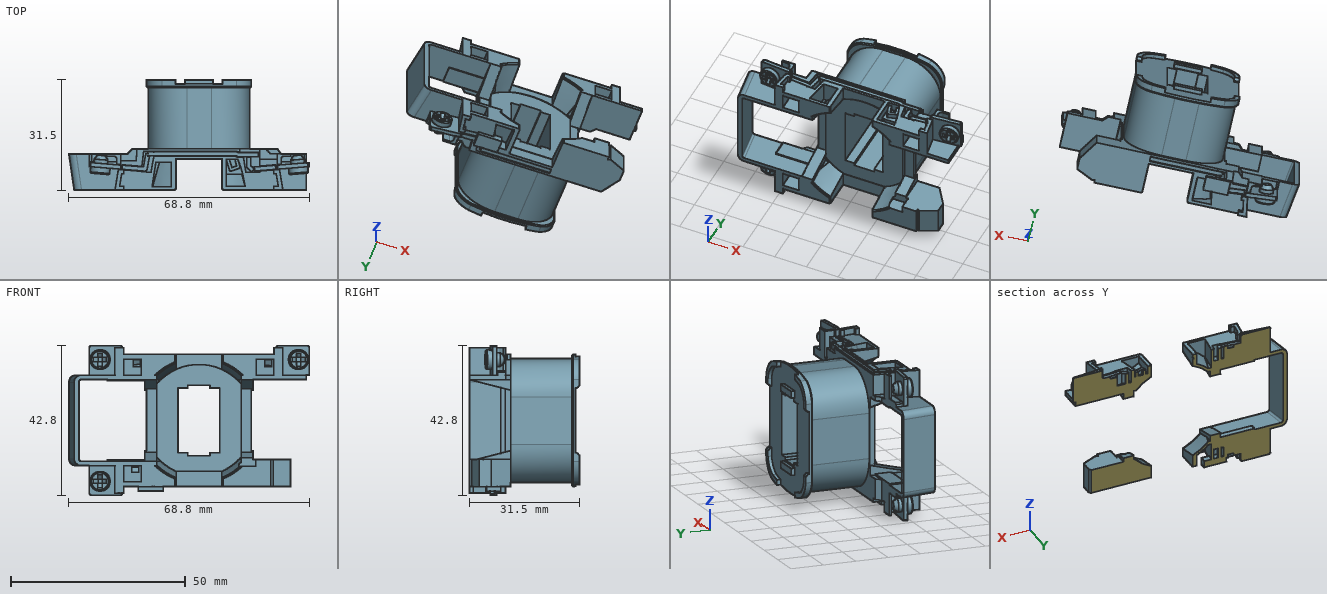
import cadquery as cq
import math

EAR_REAR = 10.3
PLATE_REAR = 11.74
BOBBIN_REAR = 31.5
ARM_INNER = 11.66
WALL = 1.29
ARM_FLOOR = ARM_INNER + WALL
ARM_TOP = 18.95
POST_TOP = 20.8
TERMINAL_TOP = 21.4

OPENING_HALF = 6.55
PLATE_FRONT = 8.84
PLATE_HALF = 12.13
STRIP_FRONT = 10.26
FLANGE_HALF = 15.0
BORE_HALF_X = 5.92
BORE_HALF_Z = 9.2
NOTCH_HALF_X = 3.13
NOTCH_HALF_Z = 10.05
SEAT_DEPTH = 0.1
SEAT_BOTTOM = -14.6
CONE_FRONT_R = 17.7
CONE_REAR_R = 16.0
CORNER_CHAMFER = 0.35
BEVEL_ANGLE = 45.0

TUBE_HALF_X = 14.55
TUBE_HALF_Z = 17.75
TUBE_RADIUS = 11.0
FLANGE_FRONT = 29.3
COLLAR_FRONT = 30.35
FLANGE_HALF_Z = 18.95
FLANGE_CORNER = (10.65, 17.5)
FLANGE_CORNER_MID = (13.6, 15.2)
FLANGE_SIDE_Z = 11.7
COLLAR_HALF_Z = 18.4
COLLAR_START_Z = 9.2
COLLAR_CHAMFER = 0.8
COLLAR_WALL = 1.5
COLLAR_GAP_HALF = 6.7
FLANGE_BEVEL = 0.35
TONGUE_HALF = 4.05
TONGUE_Z = (10.5, 12.5)

LOOP_FRONT_X = -35.7
LOOP_REAR_X = -37.2
LOOP_WALL = 1.45
LOOP_OUTER_R = 2.05
LOOP_INNER_R = 0.6
EAR_END = 30.7
CHAMFER_OUT = 20.5
CHAMFER_IN = 19.1
PAD_X = 26.2
PAD_HEIGHT = 0.36
PAD_FRONT = 5.3
RAMP_OUTER = 15.5
RAMP_TIP_Z = 8.65

POST_FRONT_X = 24.0
POST_REAR_X = 23.05
POST_SPLIT = 5.75
LIP_X = 21.45
LIP = 1.14
WINDOW_X = 21.45
WINDOW_WIDTH = 5.0
WINDOW_HEIGHT = 4.55
WINDOW_DEPTH = 4.75
PORT_WIDTH = 2.0
PORT_DEPTH = 1.2
UPPER_LEFT_PORT = -18.75
LOWER_LEFT_PORT = -19.15
RIGHT_PORT_LEFT = -20.85
UPPER_PORT_BOTTOM = 15.4
UPPER_PORT_HEIGHT = 1.95
LOWER_PORT_BOTTOM = 13.4
LOWER_PORT_HEIGHT = 1.35
GUARD_X = 22.42
GUARD_SIDE = 1.05
GUARD_REAR = 0.6
GUARD_CORNER_R = 1.0
GUARD_END = 26.3
GUARD_FRONT = 7.3
LEDGE_FRONT = 8.13
LEDGE_TOP = 14.15
LEDGE_BEVEL = (0.4, 0.6)
LEDGE_END = 31.3
REAR_STEP = 8.3
REAR_BLOCK_Y = (6.8, 8.8)
CHANNEL_FLOOR = 15.0
LEFT_BLOCK_END = 17.7
LEFT_BLOCK_LEAN = 0.25
POCKET_SKIN = 1.0

LEFT_POCKET = [(-7.9, 0.95), (-13.4, 0.95), (-12.3, 8.0), (-7.9, 8.0)]
STEP_ROOM = [(-16.4, 6.2), (-16.4, 5.2), (-13.7, 5.1), (-12.9, 9.6), (-12.9, 11.1), (-15.8, 11.1)]
RIGHT_POCKET = [(7.75, 1.1), (13.2, 1.1), (12.55, 4.45), (7.75, 4.45)]
HOOK_ROOM = [(7.75, 4.45), (12.55, 4.45), (12.0, 6.4), (10.9, 9.3), (7.75, 9.3)]
HOOK_FLOOR = 16.5
HOOK_PATH = [(8.2, 8.9), (9.15, 5.85), (11.3, 6.6), (10.6, 9.3)]
HOOK_WIDTH = 0.9
CAVITY_FRONT = 5.15
CAVITY_REAR = 9.5
CAVITY_FRONT_X = 13.4
CAVITY_REAR_X = 12.7
CAVITY_END = 17.4

STRIP = 1.15
STRIP_SINK = 0.2
STRIP_TOP = ARM_TOP - STRIP_SINK
STRIP_GAP = 0.14
GROOVE_DEPTH = 1.0
RIM_GROOVE_DEPTH = 2.0
ROOT = 0.5
CONDUCTOR_END_PATH = [(14.3, 9.6), (14.3, 6.6), (15.5, 5.6)]
CONDUCTOR_END_DROP = 0.5
LEAD_END = 15.9
STRIP_Y = 10.36
STRIP_JOG = 0.34
JOG_X = (10.6, 11.4)
PLATE_STRIP_END = 17.0
RIM_DROP_START = 11.6
RIM_DROP = 1.6
BEND_UPPER_X = -14.6
BEND_LOWER = (-15.4, 5.97)
TILT = 4.7
TERMINAL_INNER = 21.9
TERMINAL_OUTER = 31.35
TERMINAL_CORNER = 0.4
SCREW_X = 28.15
SCREW_Z = 17.4
HEAD_R = 2.8
HEAD_HEIGHT = 1.85
HEAD_CHAMFER = 0.35
SHANK_R = 2.0
TIP_R = 1.1
SHANK_LENGTH = 1.1
TIP_LENGTH = 1.2
RECESS_HALF = 1.85
RECESS_CORE = 0.62
RECESS_DEPTH = 1.1
RIGHT_SHIFT = 0.2

BLOCK_TOP = -11.1
BLOCK_END = 26.2
BLOCK_SIDE_Y = (2.85, 6.2)
BLOCK_FRONT_END = 20.6
BLOCK_STEP_Y = 0.9
BLOCK_SLOPE_X = 21.3
BLOCK_SLOPE_Y = 0.6
BLOCK_REAR_END = 22.5
SEAT_NOTCH_X = (11.4, 16.2)
SEAT_NOTCH_FLOOR = -13.1
SEAT_NOTCH_DEPTH = 3.9

REAR_FILL_END = 17.0
REAR_FILL_TOP = 17.8

TAB_X = (-17.35, -10.2)
TAB_Y = (5.0, 9.0)
TAB_BOTTOM = -20.2

OVER = 1.0


def box(x_range, y_range, z_range):
    size = [b - a for a, b in (x_range, y_range, z_range)]
    corner = (x_range[0], y_range[0], z_range[0])
    return cq.Workplane("XY").box(*size, centered=False).translate(corner)


def prism_z(points, bottom, top):
    """Outline in X, Y extruded along Z."""
    return cq.Workplane("XY").workplane(offset=bottom).polyline(points).close().extrude(top - bottom)


def prism_x(points, left, right):
    """Outline in Y, Z extruded along X."""
    return cq.Workplane("YZ").workplane(offset=left).polyline(points).close().extrude(right - left)


def along_y(front, rear):
    """Workplane looking along Y, with the distance to extrude."""
    return cq.Workplane("XZ").workplane(offset=-front), front - rear


def band(points, width, bottom, top):
    """Sheet standing on edge that follows a path in X, Y, with round bends."""
    height = top - bottom
    body = None
    for (x0, y0), (x1, y1) in zip(points, points[1:]):
        length = math.hypot(x1 - x0, y1 - y0)
        angle = math.degrees(math.atan2(y1 - y0, x1 - x0))
        piece = cq.Workplane("XY").box(length, width, height, centered=(False, True, False))
        piece = piece.rotate((0, 0, 0), (0, 0, 1), angle).translate((x0, y0, bottom))
        body = piece if body is None else body.union(piece)
    for x, y in points[1:-1]:
        bend = cq.Workplane("XY").circle(width / 2).extrude(height)
        body = body.union(bend.translate((x, y, bottom)))
    return body


def mirror_x(body):
    return body.mirror("YZ")


def mirror_z(body):
    return body.mirror("XY")


def strip_y(x):
    """Y of the tilted terminal sheet, for a position left of the axis."""
    return BEND_LOWER[1] + (BEND_LOWER[0] - x) * math.tan(math.radians(TILT))


def cone(extra=0.0):
    """Flared clearance around the bore, optionally grown."""
    plane, depth = along_y(0, PLATE_FRONT + SEAT_DEPTH)
    taper = math.degrees(math.atan((CONE_FRONT_R - CONE_REAR_R) / PLATE_FRONT))
    return plane.circle(CONE_FRONT_R + extra).extrude(depth, taper=taper)


def flared_clearance():
    """Clearance around the bore with the bevelled edge on the arm fronts."""
    plane, depth = along_y(0, CORNER_CHAMFER)
    bevel = plane.circle(CONE_FRONT_R + CORNER_CHAMFER).extrude(depth, taper=BEVEL_ANGLE)
    return cone().union(bevel)


def flange_outline(plane):
    cx, cz = FLANGE_CORNER
    mx, mz = FLANGE_CORNER_MID
    return (
        plane.moveTo(-FLANGE_HALF, -FLANGE_SIDE_Z)
        .lineTo(-FLANGE_HALF, FLANGE_SIDE_Z)
        .threePointArc((-mx, mz), (-cx, cz))
        .threePointArc((0, FLANGE_HALF_Z), (cx, cz))
        .threePointArc((mx, mz), (FLANGE_HALF, FLANGE_SIDE_Z))
        .lineTo(FLANGE_HALF, -FLANGE_SIDE_Z)
        .threePointArc((mx, -mz), (cx, -cz))
        .threePointArc((0, -FLANGE_HALF_Z), (-cx, -cz))
        .threePointArc((-mx, -mz), (-FLANGE_HALF, -FLANGE_SIDE_Z))
        .close()
    )


def collar():
    """Upper and lower rims behind the flange, open in the middle, with a tongue between them and the bore."""
    plane, depth = along_y(COLLAR_FRONT, BOBBIN_REAR)
    rim = flange_outline(plane).extrude(depth)
    rim = rim.cut(flange_outline(plane).offset2D(-COLLAR_WALL).extrude(depth))
    lower_rear = COLLAR_START_Z + COLLAR_CHAMFER
    keep = prism_x(
        [
            (COLLAR_FRONT, COLLAR_START_Z),
            (BOBBIN_REAR - COLLAR_CHAMFER, COLLAR_START_Z),
            (BOBBIN_REAR, lower_rear),
            (BOBBIN_REAR, COLLAR_HALF_Z),
            (COLLAR_FRONT, COLLAR_HALF_Z),
        ],
        -FLANGE_HALF,
        FLANGE_HALF,
    )
    y_range = (COLLAR_FRONT, BOBBIN_REAR)
    keep = keep.cut(box((-COLLAR_GAP_HALF, COLLAR_GAP_HALF), y_range, (FLANGE_SIDE_Z, FLANGE_HALF_Z)))
    tongue = box((-TONGUE_HALF, TONGUE_HALF), y_range, TONGUE_Z)
    rims = rim.intersect(keep.union(mirror_z(keep)))
    return rims.union(tongue).union(mirror_z(tongue))


def bobbin():
    plane, depth = along_y(PLATE_REAR - SEAT_DEPTH, FLANGE_FRONT)
    tube = plane.rect(2 * TUBE_HALF_X, 2 * TUBE_HALF_Z).extrude(depth)
    tube = tube.edges("|Y").fillet(TUBE_RADIUS)
    plane, depth = along_y(FLANGE_FRONT + FLANGE_BEVEL, COLLAR_FRONT)
    flange = flange_outline(plane).extrude(depth)
    plane, depth = along_y(FLANGE_FRONT, FLANGE_FRONT + FLANGE_BEVEL)
    bevel = flange_outline(plane).offset2D(-FLANGE_BEVEL).extrude(depth, taper=-BEVEL_ANGLE)
    flange = flange.union(bevel)
    return tube.union(flange).union(collar())


def front_plate():
    y_range = (PLATE_FRONT, PLATE_REAR)
    plate = box((-PLATE_HALF, PLATE_HALF), y_range, (-ARM_TOP, ARM_TOP))
    strips = box((-FLANGE_HALF, FLANGE_HALF), (STRIP_FRONT, PLATE_REAR), (-ARM_FLOOR, ARM_FLOOR))
    plane, depth = along_y(PLATE_FRONT, PLATE_FRONT + SEAT_DEPTH)
    seat = plane.circle(CONE_REAR_R).extrude(depth)
    seat = seat.intersect(box((-PLATE_HALF, PLATE_HALF), y_range, (SEAT_BOTTOM, ARM_TOP)))
    return plate.cut(seat).union(strips)


def bore():
    y_range = (0, BOBBIN_REAR + OVER)
    main = box((-BORE_HALF_X, BORE_HALF_X), y_range, (-BORE_HALF_Z, BORE_HALF_Z))
    return main.union(box((-NOTCH_HALF_X, NOTCH_HALF_X), y_range, (-NOTCH_HALF_Z, NOTCH_HALF_Z)))


def loop_solid(offset, half_height, radius):
    points = [
        (LOOP_FRONT_X + offset, 0),
        (-CHAMFER_OUT, 0),
        (-CHAMFER_OUT, EAR_REAR),
        (LOOP_REAR_X + offset, EAR_REAR),
    ]
    body = prism_z(points, -half_height, half_height)
    return body.faces("<X").edges("#Z").fillet(radius)


def loop():
    outer = loop_solid(0, ARM_FLOOR, LOOP_OUTER_R)
    return outer.cut(loop_solid(LOOP_WALL, ARM_INNER, LOOP_INNER_R))


def arm_floor(end):
    """Flat floor of an arm, running out to x = -end."""
    points = [
        (-OPENING_HALF, 0),
        (-end, 0),
        (-end, EAR_REAR),
        (-CHAMFER_OUT, EAR_REAR),
        (-CHAMFER_IN, PLATE_REAR),
        (-OPENING_HALF, PLATE_REAR),
    ]
    return prism_z(points, ARM_INNER, ARM_FLOOR)


def arm_block(rear_x, lean):
    """Main body of an arm; its full depth ends at x = -rear_x, on a wall that leans outwards."""
    points = [
        (-OPENING_HALF - CORNER_CHAMFER, 0),
        (-POST_FRONT_X, 0),
        (-POST_REAR_X, POST_SPLIT),
        (-POST_REAR_X, REAR_STEP),
        (-rear_x - lean, REAR_STEP),
        (-rear_x, PLATE_REAR),
        (-OPENING_HALF, PLATE_REAR),
        (-OPENING_HALF, CORNER_CHAMFER),
    ]
    return prism_z(points, ARM_INNER, ARM_TOP)


def post():
    """C-shaped front part of the post, above the arm top."""
    slope = (POST_FRONT_X - POST_REAR_X) / POST_SPLIT
    inner_front = -POST_FRONT_X + LIP + slope * LIP
    inner_rear = -POST_REAR_X + LIP - slope * LIP
    points = [
        (-POST_FRONT_X, 0),
        (-LIP_X, 0),
        (-LIP_X, LIP),
        (inner_front, LIP),
        (inner_rear, POST_SPLIT - LIP),
        (-LIP_X, POST_SPLIT - LIP),
        (-LIP_X, POST_SPLIT),
        (-POST_REAR_X, POST_SPLIT),
    ]
    return prism_z(points, ARM_FLOOR, POST_TOP)


def guard(ledge_end):
    """L-shaped wall behind the screw tip; the ledge below it runs out to x = -ledge_end."""
    wall = box((-GUARD_END, -GUARD_X), (GUARD_FRONT, EAR_REAR), (ARM_FLOOR, POST_TOP))
    cavity_x = (-GUARD_END - OVER, -GUARD_X - GUARD_SIDE)
    cavity = box(cavity_x, (GUARD_FRONT - OVER, EAR_REAR - GUARD_REAR), (ARM_FLOOR, POST_TOP))
    cavity = cavity.edges(">X and >Y").fillet(GUARD_CORNER_R)
    ledge = box((-ledge_end, -GUARD_X), (LEDGE_FRONT, EAR_REAR), (ARM_FLOOR, LEDGE_TOP))
    ledge = ledge.faces("<X").edges(">Z").chamfer(*LEDGE_BEVEL)
    return wall.cut(cavity).union(ledge)


def window(port_left, port_bottom, port_height):
    """Square front window; a small port in its back wall has a sloping roof."""
    x_range = (-WINDOW_X, -WINDOW_X + WINDOW_WIDTH)
    opening = box(x_range, (-OVER, WINDOW_DEPTH), (ARM_FLOOR, ARM_FLOOR + WINDOW_HEIGHT))
    port = prism_x(
        [
            (WINDOW_DEPTH, port_bottom),
            (WINDOW_DEPTH + PORT_DEPTH, port_bottom),
            (WINDOW_DEPTH, port_bottom + port_height),
        ],
        port_left,
        port_left + PORT_WIDTH,
    )
    return opening.union(port)


def ramp(side, base):
    """Wedge rising from the arm front towards the plate; side is -1 or 1."""
    points = [
        (0, ARM_INNER),
        (PLATE_REAR, RAMP_TIP_Z),
        (PLATE_REAR, base),
        (0, base),
    ]
    x_range = sorted((side * PLATE_HALF, side * RAMP_OUTER))
    return prism_x(points, *x_range)


def terminal():
    """Tilted terminal sheet with its screw."""
    z_range = (ARM_FLOOR, TERMINAL_TOP)
    length = TERMINAL_OUTER - TERMINAL_INNER
    sheet = box((-length, 0), (-STRIP / 2, STRIP / 2), z_range)
    sheet = sheet.edges("|Y").edges(">Z").chamfer(TERMINAL_CORNER)
    screw_x = TERMINAL_INNER - SCREW_X
    face = cq.Workplane("XZ", origin=(screw_x, 0, SCREW_Z))
    head = face.workplane(offset=STRIP / 2).circle(HEAD_R).extrude(HEAD_HEIGHT)
    head = head.faces("<Y").chamfer(HEAD_CHAMFER)
    shank = face.circle(SHANK_R).extrude(-STRIP / 2 - SHANK_LENGTH)
    tip = face.workplane(offset=-STRIP / 2 - SHANK_LENGTH).circle(SHANK_R)
    tip = tip.workplane(offset=-TIP_LENGTH).circle(TIP_R).loft()
    body = sheet.union(head).union(shank).union(tip)
    body = body.cut(screw_recess().translate((screw_x, -STRIP / 2 - HEAD_HEIGHT, SCREW_Z)))
    body = body.rotate((0, 0, 0), (0, 0, 1), -TILT)
    return body.translate((-TERMINAL_INNER, strip_y(-TERMINAL_INNER), 0))


def screw_recess():
    """Cross recess whose four arms slope down to the middle."""
    profile = [
        (-RECESS_HALF, 0),
        (RECESS_HALF, 0),
        (RECESS_CORE, RECESS_DEPTH),
        (-RECESS_CORE, RECESS_DEPTH),
    ]
    slot = prism_z(profile, -RECESS_CORE, RECESS_CORE)
    return slot.union(slot.rotate((0, 0, 0), (0, 1, 0), 90))


def left_conductor_path():
    return [
        (-TERMINAL_INNER, strip_y(-TERMINAL_INNER)),
        BEND_LOWER,
        (BEND_UPPER_X, STRIP_Y),
    ]


def conductor_groove(path, floor):
    return band(path, STRIP + 2 * STRIP_GAP, floor, ARM_TOP + OVER)


def left_arm(port_left, port_bottom, port_height):
    """Upper left arm with its conductor, post, guard and terminal."""
    block = arm_block(LEFT_BLOCK_END, LEFT_BLOCK_LEAN)
    pocket = prism_z(LEFT_POCKET, ARM_INNER, ARM_TOP + OVER)
    block = block.cut(pocket.cut(cone(POCKET_SKIN)))
    step_room = prism_z(STEP_ROOM, CHANNEL_FLOOR, ARM_TOP + OVER)
    block = block.cut(step_room).cut(window(port_left, port_bottom, port_height))
    path = left_conductor_path()
    block = block.cut(conductor_groove(path[:2], ARM_TOP - GROOVE_DEPTH))
    body = block.union(arm_floor(POST_FRONT_X)).cut(flared_clearance())
    body = body.union(post()).union(guard(LEDGE_END))
    body = body.union(band(path, STRIP, CHANNEL_FLOOR - ROOT, STRIP_TOP))
    pad = box((-PAD_X, -RAMP_OUTER), (PAD_FRONT, EAR_REAR), (ARM_INNER - PAD_HEIGHT, ARM_INNER))
    return body.union(pad).union(ramp(-1, ARM_FLOOR)).union(terminal())


def right_arm():
    """Upper right arm: open cavity with the conductor end and a hook."""
    block = mirror_x(arm_block(CAVITY_END, 0))
    top = ARM_TOP + OVER
    cavity = prism_z(
        [
            (CAVITY_FRONT_X, CAVITY_FRONT),
            (CAVITY_END, CAVITY_FRONT),
            (CAVITY_END, CAVITY_REAR),
            (CAVITY_REAR_X, CAVITY_REAR),
        ],
        CHANNEL_FLOOR,
        top,
    )
    pocket = prism_z(RIGHT_POCKET, ARM_INNER, top).cut(cone(POCKET_SKIN))
    hook_room = prism_z(HOOK_ROOM, HOOK_FLOOR, top)
    block = block.cut(cavity).cut(pocket).cut(hook_room)
    block = block.cut(mirror_x(window(RIGHT_PORT_LEFT, UPPER_PORT_BOTTOM, UPPER_PORT_HEIGHT)))
    path = [(-x, y) for x, y in left_conductor_path()[:2]]
    block = block.cut(conductor_groove(path, ARM_TOP - GROOVE_DEPTH))
    floor = mirror_x(arm_floor(EAR_END))
    body = block.union(floor).cut(flared_clearance())
    rear_block = box((CAVITY_END, GUARD_X + GUARD_SIDE), REAR_BLOCK_Y, (ARM_FLOOR, ARM_TOP))
    body = body.union(rear_block).cut(conductor_groove(path, ARM_TOP - GROOVE_DEPTH))
    body = body.union(mirror_x(post())).union(mirror_x(guard(EAR_END)))
    hook = band(HOOK_PATH, HOOK_WIDTH, HOOK_FLOOR - ROOT, ARM_TOP - GROOVE_DEPTH)
    end = band(CONDUCTOR_END_PATH, STRIP, CHANNEL_FLOOR - ROOT, STRIP_TOP - CONDUCTOR_END_DROP)
    lead = band([path[0], (LEAD_END, strip_y(-LEAD_END))], STRIP, CHANNEL_FLOOR - ROOT, STRIP_TOP)
    body = body.union(hook).union(end).union(lead).union(ramp(1, ARM_FLOOR))
    return body.union(mirror_x(terminal()).translate((RIGHT_SHIFT, 0, 0)))


def plate_conductor(path):
    """Groove and conductor in the rim of the front plate."""
    groove = conductor_groove(path, ARM_TOP - RIM_GROOVE_DEPTH)
    return groove, band(path, STRIP, ARM_TOP - RIM_GROOVE_DEPTH - ROOT, STRIP_TOP)


def rear_fill():
    """Solid rear corner of the lower left arm, bevelled like the arm floor (built above)."""
    points = [
        (-GUARD_X, REAR_STEP),
        (-GUARD_X, EAR_REAR),
        (-CHAMFER_OUT, EAR_REAR),
        (-CHAMFER_IN, PLATE_REAR),
        (-REAR_FILL_END, PLATE_REAR),
        (-REAR_FILL_END, REAR_STEP),
    ]
    return prism_z(points, ARM_FLOOR, REAR_FILL_TOP)


def lower_right_block():
    points = [
        (OPENING_HALF + CORNER_CHAMFER, 0),
        (BLOCK_FRONT_END, 0),
        (BLOCK_FRONT_END, BLOCK_STEP_Y),
        (BLOCK_SLOPE_X, BLOCK_SLOPE_Y),
        (BLOCK_END, BLOCK_SIDE_Y[0]),
        (BLOCK_END, BLOCK_SIDE_Y[1]),
        (BLOCK_REAR_END, PLATE_REAR),
        (OPENING_HALF, PLATE_REAR),
        (OPENING_HALF, CORNER_CHAMFER),
    ]
    body = prism_z(points, -ARM_TOP, BLOCK_TOP).cut(flared_clearance())
    body = body.union(mirror_z(ramp(1, ARM_FLOOR)))
    return body.cut(box(SEAT_NOTCH_X, (-OVER, SEAT_NOTCH_DEPTH), (SEAT_NOTCH_FLOOR, 0)))


upper_left = left_arm(UPPER_LEFT_PORT, UPPER_PORT_BOTTOM, UPPER_PORT_HEIGHT)
lower_left = left_arm(LOWER_LEFT_PORT, LOWER_PORT_BOTTOM, LOWER_PORT_HEIGHT)
lower_left = mirror_z(lower_left.union(rear_fill()))
plate_start = (BEND_UPPER_X, STRIP_Y)
end_y = STRIP_Y - STRIP_JOG
upper_path = [plate_start, (JOG_X[0], STRIP_Y), (JOG_X[1], end_y), (PLATE_STRIP_END, end_y)]
upper_groove, upper_strip = plate_conductor(upper_path)
lower_groove, lower_strip = plate_conductor([plate_start, (OPENING_HALF, STRIP_Y)])
rim_cut = box((RIM_DROP_START, CAVITY_END), (STRIP_Y, PLATE_REAR), (ARM_TOP - RIM_DROP, ARM_TOP))

result = front_plate().union(loop()).union(upper_left).union(lower_left)
result = result.union(right_arm()).union(lower_right_block())
result = result.cut(rim_cut).cut(upper_groove).union(upper_strip)
result = result.cut(mirror_z(lower_groove)).union(mirror_z(lower_strip))
result = result.union(box(TAB_X, TAB_Y, (TAB_BOTTOM, -ARM_TOP + OVER)))
result = result.union(bobbin()).cut(bore())